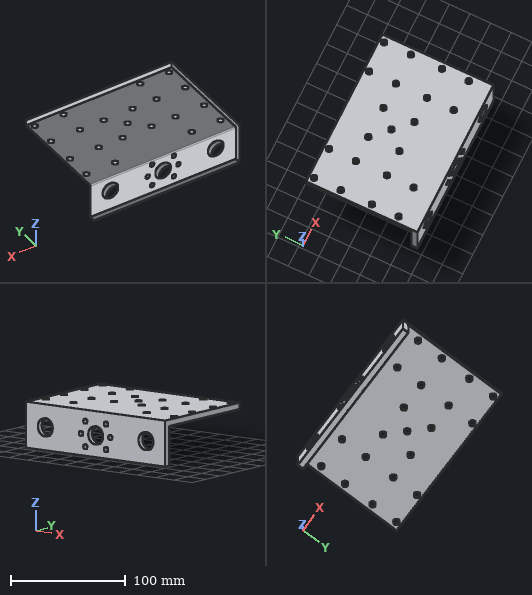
import cadquery as cq
import math

width = 152.0
depth = 108.0
height = 41.0
thickness = 6.0
inner_bend_radius = 1.0

mount_hole_diameter = 5.3
mount_center_y = 62.2
inner_offset = 15.0
middle_offset_x = 40.0
outer_offset_x = 69.9
outer_offset_y = 41.0

large_hole_diameter = 16.0
side_hole_offset_x = 54.9
side_hole_z = height / 2
motor_center_z = 19.5
motor_screw_diameter = 4.3
motor_screw_circle_radius = 16.0
motor_screw_angles = (0, 45, 135, 180, 225, 315)


def mirrored_points(x, y):
    """Four points symmetric about both axes."""
    return [(sx * x, sy * y) for sx in (-1, 1) for sy in (-1, 1)]


def angle_bracket():
    """L-shaped body centered on X, with its front face at Y = 0."""
    plate = cq.Workplane("XY").box(width, depth, thickness, centered=(True, False, False))
    plate = plate.translate((0, 0, height - thickness))
    flange = cq.Workplane("XY").box(width, thickness, height, centered=(True, False, False))
    inner_corner = cq.selectors.NearestToPointSelector((0, thickness, height - thickness))
    return plate.union(flange).edges(inner_corner).fillet(inner_bend_radius)


def plate_holes():
    """Vertical cutters for the mounting pattern."""
    points = [(0, 0)]
    for x in (inner_offset, middle_offset_x, outer_offset_x):
        points += mirrored_points(x, inner_offset)
    for x in (middle_offset_x, outer_offset_x):
        points += mirrored_points(x, outer_offset_y)
    return (
        cq.Workplane("XY", origin=(0, mount_center_y, height - thickness))
        .pushPoints(points)
        .circle(mount_hole_diameter / 2)
        .extrude(thickness)
    )


def flange_holes(points, diameter):
    """Cutters through the flange at the given (X, Z) points."""
    return cq.Workplane("XZ").pushPoints(points).circle(diameter / 2).extrude(-thickness)


large_hole_points = [
    (-side_hole_offset_x, side_hole_z),
    (0, motor_center_z),
    (side_hole_offset_x, side_hole_z),
]
motor_screw_points = [
    (
        motor_screw_circle_radius * math.cos(math.radians(angle)),
        motor_center_z + motor_screw_circle_radius * math.sin(math.radians(angle)),
    )
    for angle in motor_screw_angles
]

result = (
    angle_bracket()
    .cut(plate_holes())
    .cut(flange_holes(large_hole_points, large_hole_diameter))
    .cut(flange_holes(motor_screw_points, motor_screw_diameter))
)